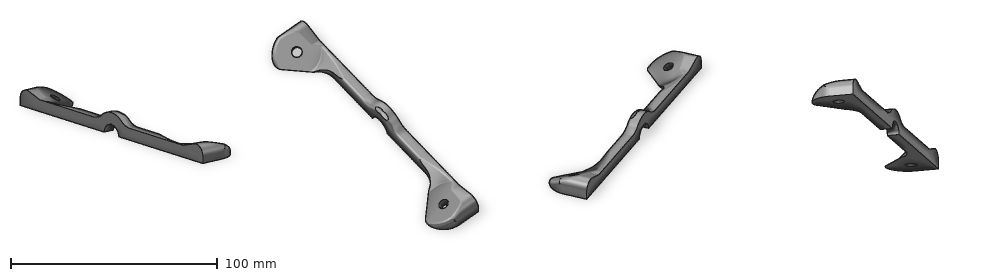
import cadquery as cq
import math

half_length = 68.0
bar_depth = 6.0
bar_height = 6.0
edge_radius = 2.0
cut_reach = 60.0

notch_radius = 5.5
notch_drop = 0.5
hump_radius = notch_radius + bar_height
hump_blend_radius = 10.0

end_radius = 5.0
end_slope = math.radians(17.2)
slope_foot = 53.4

pad_radius = 12.0
pad_x = half_length - pad_radius
pad_y = 12.06
pad_tilt = math.radians(27.5)
pad_edge_offset = 8.2
shoulder_y = 11.7
neck_offset = 7.65
neck_radius = 10.0
diagonal_angle = math.radians(45)
neck_half_turn = diagonal_angle / 2
hole_diameter = 5.11

clearance_radius = 12.1
flare_angle = math.radians(28)

tolerance = 1e-3

diagonal_gap = pad_x - pad_y - pad_edge_offset * math.sqrt(2)
neck_gap = pad_x - pad_y - neck_offset * math.sqrt(2)
neck_tangent = neck_radius * math.tan(neck_half_turn)
neck_corner = neck_gap + bar_depth
neck_end = neck_corner - neck_tangent
pad_height = pad_edge_offset * math.tan(pad_tilt)


def front_outline():
    """Left half of the outline in XZ, closed along X = 0."""
    blend_z = bar_height + hump_blend_radius
    center_gap = hump_radius + hump_blend_radius
    blend_x = math.sqrt(center_gap**2 - (blend_z + notch_drop) ** 2)
    joint_x = blend_x * hump_radius / center_gap
    joint_z = math.sqrt(hump_radius**2 - joint_x**2) - notch_drop
    blend_half = math.atan2(blend_x, blend_z + notch_drop) / 2
    blend_mid = (
        -blend_x + hump_blend_radius * math.sin(blend_half),
        blend_z - hump_blend_radius * math.cos(blend_half),
    )
    hump_mid = (
        -hump_radius * math.sin(blend_half),
        hump_radius * math.cos(blend_half) - notch_drop,
    )

    end_x = -half_length + end_radius
    crest_x = end_x + end_radius * math.sin(end_slope)
    crest_z = bar_height + (-slope_foot - crest_x) * math.tan(end_slope)
    end_z = crest_z - end_radius * math.cos(end_slope)
    end_mid_angle = (math.pi + (math.pi / 2 - end_slope)) / 2
    end_mid = (
        end_x + end_radius * math.cos(end_mid_angle),
        end_z + end_radius * math.sin(end_mid_angle),
    )

    notch_x = math.sqrt(notch_radius**2 - notch_drop**2)
    notch_angle = math.atan2(notch_drop, -notch_x)
    notch_mid_angle = (notch_angle + math.pi / 2) / 2
    notch_mid = (
        notch_radius * math.cos(notch_mid_angle),
        notch_radius * math.sin(notch_mid_angle) - notch_drop,
    )
    return (
        cq.Workplane("XZ")
        .moveTo(-half_length, 0)
        .lineTo(-half_length, end_z)
        .threePointArc(end_mid, (crest_x, crest_z))
        .lineTo(-slope_foot, bar_height)
        .lineTo(-blend_x, bar_height)
        .threePointArc(blend_mid, (-joint_x, joint_z))
        .threePointArc(hump_mid, (0, hump_radius - notch_drop))
        .lineTo(0, notch_radius - notch_drop)
        .threePointArc(notch_mid, (-notch_x, 0))
        .close()
    )


def plan_outline():
    """Left half of the outline in XY: pad lobe, diagonal edge, neck and bar."""
    lobe_angle = diagonal_angle + math.acos(pad_edge_offset / pad_radius)
    lobe_end = (
        -pad_x + pad_radius * math.cos(lobe_angle),
        pad_y + pad_radius * math.sin(lobe_angle),
    )
    lobe_mid_angle = (lobe_angle + math.pi) / 2
    lobe_mid = (
        -pad_x + pad_radius * math.cos(lobe_mid_angle),
        pad_y + pad_radius * math.sin(lobe_mid_angle),
    )
    neck_start = (
        -neck_corner - neck_tangent * math.sqrt(0.5),
        bar_depth + neck_tangent * math.sqrt(0.5),
    )
    neck_mid = (
        -neck_end - neck_radius * math.sin(neck_half_turn),
        bar_depth + neck_radius * (1 - math.cos(neck_half_turn)),
    )
    return (
        cq.Workplane("XY")
        .moveTo(-half_length, 0)
        .lineTo(-half_length, pad_y)
        .threePointArc(lobe_mid, lobe_end)
        .lineTo(-diagonal_gap - shoulder_y, shoulder_y)
        .lineTo(*neck_start)
        .threePointArc(neck_mid, (-neck_end, bar_depth))
        .lineTo(0, bar_depth)
        .lineTo(0, 0)
        .close()
    )


def pad_plane():
    """Tilted pad face, centred on the screw hole, with its normal pointing up."""
    lean = math.sin(pad_tilt) * math.sqrt(0.5)
    return cq.Plane(
        origin=(-pad_x, pad_y, pad_height),
        xDir=(1, -1, 0),
        normal=(lean, lean, math.cos(pad_tilt)),
    )


def clearance_body():
    """Space above the pad face, with a flared wall around its inner side.

    The wall is a cone about the screw axis, continued uphill by its tangent plane.
    """
    pad = pad_plane()
    depth = cut_reach / 2
    rim_radius = clearance_radius + depth / math.tan(flare_angle)
    section_plane = cq.Plane(pad.origin, xDir=pad.xDir, normal=pad.yDir)
    setback = edge_radius * math.tan(flare_angle / 2)
    round_start = clearance_radius - setback
    round_end = (
        clearance_radius + setback * math.cos(flare_angle),
        -setback * math.sin(flare_angle),
    )
    round_mid = (
        round_start + edge_radius * math.sin(flare_angle / 2),
        -edge_radius * (1 - math.cos(flare_angle / 2)),
    )
    section = (
        cq.Workplane(section_plane)
        .lineTo(round_start, 0)
        .threePointArc(round_mid, round_end)
        .lineTo(rim_radius, -depth)
        .lineTo(0, -depth)
        .close()
    )
    tangent_wall = cq.Workplane(section_plane).add(section).toPending().extrude(-cut_reach)
    cone = section.revolve(360, (0, 0), (0, 1))
    outer_side = (
        cq.Workplane(pad)
        .center(-cut_reach, 0)
        .rect(2 * cut_reach, 2 * cut_reach)
        .extrude(depth)
    )
    return outer_side.union(tangent_wall).union(cone)


def rounded_bar():
    """Left half of the bar with its upper back edges rounded, plus a plain block around the pad."""
    bar = front_outline().extrude(-bar_depth)
    back_edges = bar.faces(">Y").edges(
        cq.selectors.BoxSelector(
            (-slope_foot, bar_depth - edge_radius, bar_height - edge_radius / 2),
            (-edge_radius / 2, bar_depth + edge_radius, 2 * hump_radius),
        )
    )
    block_width = half_length - neck_end
    block = cq.Workplane("XY").box(
        block_width, cut_reach, cut_reach, centered=(False, False, False)
    ).translate((-half_length, 0, 0))
    return back_edges.fillet(edge_radius).union(block)


def clearance_edges(half):
    """Edges around the pad face and along the top of its flared wall, off the base and the back."""
    pad = pad_plane()
    chosen = []
    for edge in half.edges().vals():
        middle = edge.positionAt(0.5)
        ends = [edge.startPoint(), edge.endPoint()]
        on_pad = all(abs(pad.toLocalCoords(p).z) < tolerance for p in ends)
        on_top = all(abs(p.z - bar_height) < tolerance for p in ends)
        off_front = all(p.y > tolerance for p in ends)
        off_back = any(p.y < bar_depth - tolerance for p in ends)
        if (on_pad and middle.z > tolerance) or (on_top and off_front and off_back):
            chosen.append(edge)
    return half.newObject(chosen)


def screw_hole():
    """Cylinder square to the pad face, running right through the pad."""
    return (
        cq.Workplane(pad_plane())
        .circle(hole_diameter / 2)
        .extrude(cut_reach, both=True)
    )


def left_half():
    """Pad, neck and half of the bar on the negative X side."""
    half = front_outline().extrude(-cut_reach)
    half = half.intersect(plan_outline().extrude(cut_reach))
    half = half.cut(clearance_body())
    half = clearance_edges(half).fillet(edge_radius)
    half = half.intersect(rounded_bar())
    return half.cut(screw_hole())


left = left_half()
result = left.union(left.mirror("YZ"))